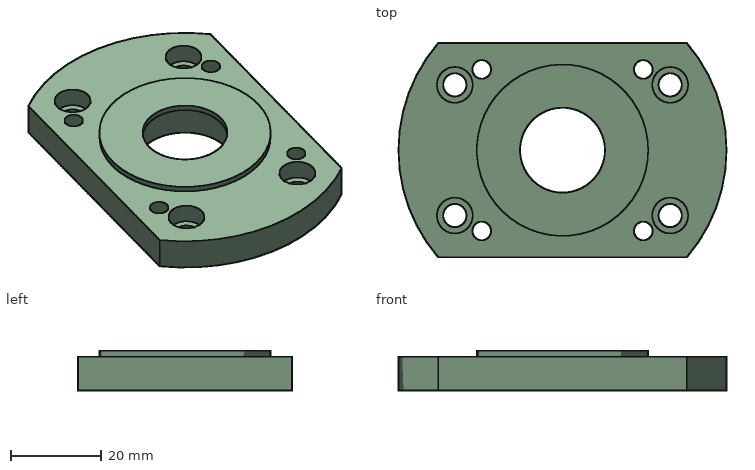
import cadquery as cq

flange_diameter = 72.9
flange_width = 47.6
total_height = 8.9
boss_height = 1.3
plate_thickness = total_height - boss_height

boss_diameter = 38.05
bore_diameter = 18.8
lower_bore_diameter = 21.4

screw_spacing_x = 47.8
screw_spacing_y = 29.0
screw_hole_diameter = 5.1
counterbore_diameter = 7.95
counterbore_depth = 4.5

pin_spacing = 35.9
pin_hole_diameter = 4.1


def flange_plate():
    disc = cq.Workplane("XY").circle(flange_diameter / 2).extrude(plate_thickness)
    flats = cq.Workplane("XY").rect(flange_diameter, flange_width).extrude(plate_thickness)
    return disc.intersect(flats)


def plate_top(body):
    return body.copyWorkplane(cq.Workplane("XY", origin=(0, 0, plate_thickness)))


def add_boss(body):
    return plate_top(body).circle(boss_diameter / 2).extrude(boss_height)


def cut_bore(body):
    bore = cq.Workplane("XY").circle(bore_diameter / 2).extrude(total_height)
    lower_bore = cq.Workplane("XY").circle(lower_bore_diameter / 2).extrude(plate_thickness)
    return body.cut(bore).cut(lower_bore)


def cut_screw_holes(body):
    return (
        plate_top(body)
        .rect(screw_spacing_x, screw_spacing_y, forConstruction=True)
        .vertices()
        .cboreHole(screw_hole_diameter, counterbore_diameter, counterbore_depth)
    )


def cut_pin_holes(body):
    return (
        plate_top(body)
        .rect(pin_spacing, pin_spacing, forConstruction=True)
        .vertices()
        .hole(pin_hole_diameter)
    )


result = flange_plate()
result = add_boss(result)
result = cut_bore(result)
result = cut_screw_holes(result)
result = cut_pin_holes(result)